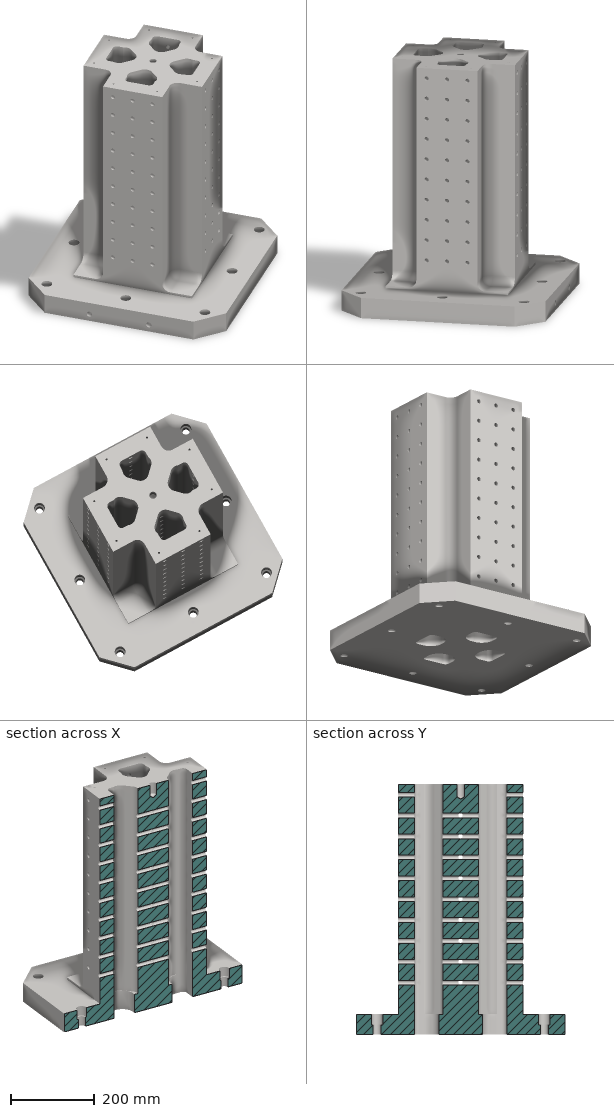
import cadquery as cq
import math

total_height = 600.0
grid = total_height / 12

plate_side = 500.0
plate_height = grid
plate_corner_chamfer = 62.0

column_side = 6 * grid
arm_width = 3 * grid
pad_height = 6.0
notch_radius = 20.0

window_width = 70.0
window_inner = 53.0
window_outer = 110.0
window_inner_radius = 30.0
window_outer_radius = 10.0

wedge_tip = 35.0
wedge_half_width = 45.0
wedge_radius = 20.0

mount_pitch = 4 * grid
mount_diameter = 18.0
mount_bore_diameter = 26.0
mount_bore_depth = 25.0

face_hole_diameter = 10.0
face_hole_depth = 25.0
face_hole_offset = grid
row_pitch = grid
row_count = 10
top_row_drop = grid / 2

center_hole_diameter = 17.5
center_hole_depth = 30.0
top_hole_diameter = 5.0
top_hole_depth = 15.0
top_hole_radial = 130.0
top_hole_side = 55.0

edge_hole_diameter = 14.0
edge_hole_depth = 30.0
edge_hole_offset = 1.5 * grid
edge_hole_height = 18.5

drill_point_angle = 118.0
quarter_turns = (0, 90, 180, 270)

pad_top = plate_height + pad_height
column_half = column_side / 2
column_height = total_height - plate_height

DOWN = cq.Vector(0, 0, -1)
TOWARD_BACK = cq.Vector(0, 1, 0)


def around_axis(shape, angle):
    """Turn a shape about the column axis."""
    return shape.rotate(cq.Vector(0, 0, 0), cq.Vector(0, 0, 1), angle)


def drilled_hole(diameter, depth, start, direction):
    """Blind hole with a conical drill point below its full-diameter depth."""
    radius = diameter / 2
    point_height = radius / math.tan(math.radians(drill_point_angle / 2))
    bore = cq.Solid.makeCylinder(radius, depth, start, direction)
    point = cq.Solid.makeCone(radius, 0, point_height, start + direction * depth, direction)
    return bore.fuse(point)


def make_plate():
    """Square plate with cut corners and counterbored mounting holes."""
    steps = (-mount_pitch, 0, mount_pitch)
    mounts = [(x, y) for x in steps for y in steps if (x, y) != (0, 0)]
    return (
        cq.Workplane("XY")
        .rect(plate_side, plate_side)
        .extrude(plate_height)
        .edges("|Z")
        .chamfer(plate_corner_chamfer)
        .faces(">Z")
        .workplane()
        .pushPoints(mounts)
        .cboreHole(mount_diameter, mount_bore_diameter, mount_bore_depth)
    )


def make_column():
    """Square column with a rounded notch along each corner, running from the pad to the top."""
    column = (
        cq.Workplane("XY")
        .workplane(offset=plate_height)
        .rect(column_side, column_side)
        .extrude(column_height)
    )
    notch_side = column_side
    notch_center = (arm_width + notch_side) / 2
    notch = (
        cq.Workplane("XY")
        .workplane(offset=pad_top)
        .center(notch_center, notch_center)
        .rect(notch_side, notch_side)
        .extrude(total_height)
        .edges("(<X and <Y) or (<X and <Z) or (<Y and <Z)")
        .fillet(notch_radius)
    )
    for angle in quarter_turns:
        column = column.cut(around_axis(notch, angle))
    return column


def make_window():
    """Opening through column and plate, in the arm on the -Y side."""
    window_length = window_outer - window_inner
    return (
        cq.Workplane("XY")
        .center(0, -(window_inner + window_outer) / 2)
        .rect(window_width, window_length)
        .extrude(total_height)
        .edges("|Z and >Y")
        .fillet(window_inner_radius)
        .edges("|Z and <Y")
        .fillet(window_outer_radius)
    )


def make_wedge():
    """Rounded 90 degree wedge pointing at the axis, from the column top to the plate."""
    widest = wedge_tip + wedge_half_width
    outer_half_width = wedge_half_width - (window_outer - widest)
    outline = [
        (0, -wedge_tip),
        (wedge_half_width, -widest),
        (outer_half_width, -window_outer),
        (-outer_half_width, -window_outer),
        (-wedge_half_width, -widest),
    ]
    return (
        cq.Workplane("XY")
        .workplane(offset=plate_height)
        .polyline(outline)
        .close()
        .extrude(column_height)
        .edges("|Z and (>X or <X or >Y)")
        .fillet(wedge_radius)
    )


def make_face_holes():
    """Hole grid of the -Y face: blind outer columns and a middle column.

    The middle holes run to the column axis, so opposite faces meet there.
    The top middle hole only pierces the wall in front of the window.
    """
    holes = []
    wall = column_half - window_outer
    for row in range(row_count):
        height = total_height - top_row_drop - row * row_pitch
        for x in (-face_hole_offset, face_hole_offset):
            start = cq.Vector(x, -column_half, height)
            holes.append(drilled_hole(face_hole_diameter, face_hole_depth, start, TOWARD_BACK))
        depth = wall if row == 0 else column_half
        start = cq.Vector(0, -column_half, height)
        holes.append(cq.Solid.makeCylinder(face_hole_diameter / 2, depth, start, TOWARD_BACK))
    return holes


def make_top_holes():
    """Pair of small blind holes in the top of the -Y arm."""
    return [
        drilled_hole(top_hole_diameter, top_hole_depth, cq.Vector(x, -top_hole_radial, total_height), DOWN)
        for x in (-top_hole_side, top_hole_side)
    ]


result = make_plate().union(make_column())

arm_cutters = [make_window().val(), make_wedge().val()]
arm_cutters += make_face_holes()
arm_cutters += make_top_holes()
for angle in quarter_turns:
    turned = [around_axis(cutter, angle) for cutter in arm_cutters]
    result = cq.Workplane(result.val().cut(*turned))

column_top = cq.Vector(0, 0, total_height)
single_cutters = [drilled_hole(center_hole_diameter, center_hole_depth, column_top, DOWN)]
for x in (-edge_hole_offset, edge_hole_offset):
    edge_start = cq.Vector(x, -plate_side / 2, edge_hole_height)
    single_cutters.append(drilled_hole(edge_hole_diameter, edge_hole_depth, edge_start, TOWARD_BACK))
result = cq.Workplane(result.val().cut(*single_cutters)).solids()